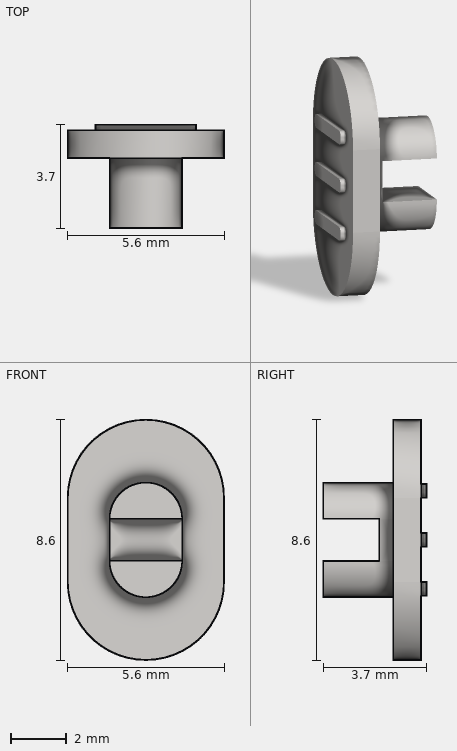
import cadquery as cq

plate_width = 5.6
plate_height = 8.6
plate_thickness = 1.0

stem_width = 2.6
stem_height = 4.1
stem_length = 2.5
slot_height = 1.5
slot_floor = 0.5

bar_width = 3.6
bar_height = 0.5
bar_corner_radius = 0.2
bar_depth = 0.2
bar_pitch = 1.755
bar_count = 3


def oblong(width, height, length):
    """Upright oblong prism, extruded from the Y = 0 plane toward -Y."""
    return cq.Workplane("XZ").slot2D(height, width, 90).extrude(length)


def make_plate():
    """Plate with its stem-side face on Y = 0."""
    return oblong(plate_width, plate_height, plate_thickness).translate((0, plate_thickness, 0))


def make_stem():
    """Stem with a slot across its full width, open at the free end."""
    slot_depth = stem_length - slot_floor
    slot = (
        cq.Workplane("XZ", origin=(0, -slot_floor, 0))
        .rect(stem_width, slot_height)
        .extrude(slot_depth)
    )
    return oblong(stem_width, stem_height, stem_length).cut(slot)


def make_bars():
    """Evenly stacked horizontal bars with rounded corners."""
    return (
        cq.Workplane("XZ", origin=(0, plate_thickness, 0))
        .rarray(0.09, bar_pitch, 1, bar_count)
        .rect(bar_width, bar_height)
        .extrude(-bar_depth)
        .edges("|Y")
        .fillet(bar_corner_radius)
    )


result = make_plate().union(make_stem()).union(make_bars())